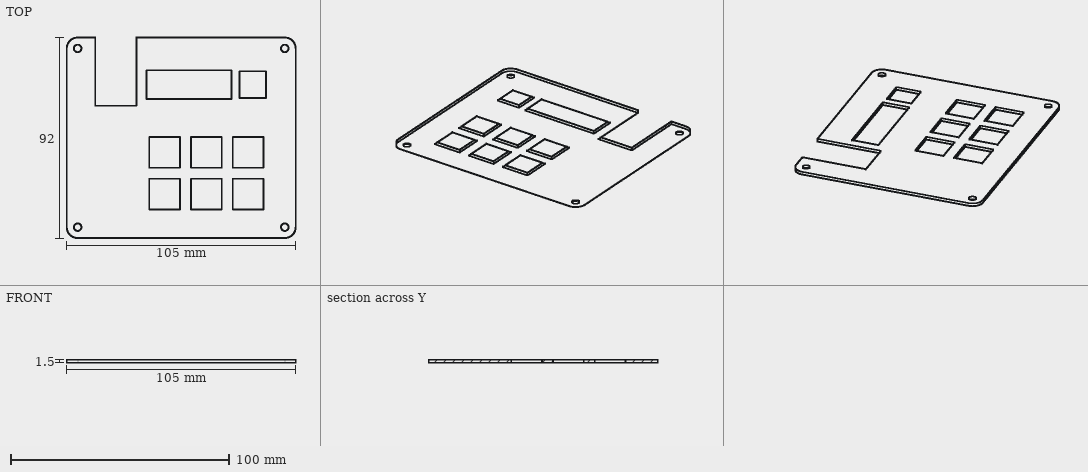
import cadquery as cq

length = 105.0
width = 92.0
thickness = 1.5
corner_radius = 5.0

hole_diameter = 3.4
hole_spacing_x = length - 2 * corner_radius
hole_spacing_y = width - 2 * corner_radius

notch_offset = 13.1
notch_width = 18.8
notch_depth = 31.3

window_y = 24.4
display_x = 3.6
display_length = 38.7
display_height = 13.0
square_x = 32.8
square_size = 12.1

key_size = 14.0
key_pitch = 19.1
key_columns = 3
key_rows = 2
key_grid_x = 11.5
key_grid_y = -16.3


def opening(center_x, center_y, size_x, size_y):
    """Rectangular cutter through the full plate thickness."""
    cutter = cq.Workplane("XY").rect(size_x, size_y).extrude(thickness)
    return cutter.translate((center_x, center_y, 0))


result = (
    cq.Workplane("XY")
    .rect(length, width)
    .extrude(thickness)
    .edges("|Z")
    .fillet(corner_radius)
)

result = (
    result.faces(">Z")
    .workplane(origin=(0, 0, thickness))
    .rect(hole_spacing_x, hole_spacing_y, forConstruction=True)
    .vertices()
    .hole(hole_diameter)
)

notch_x = -length / 2 + notch_offset + notch_width / 2
notch_y = width / 2 - notch_depth / 2
result = result.cut(opening(notch_x, notch_y, notch_width, notch_depth))

result = result.cut(opening(display_x, window_y, display_length, display_height))
result = result.cut(opening(square_x, window_y, square_size, square_size))

for column in range(key_columns):
    for row in range(key_rows):
        key_x = key_grid_x + (column - (key_columns - 1) / 2) * key_pitch
        key_y = key_grid_y + (row - (key_rows - 1) / 2) * key_pitch
        result = result.cut(opening(key_x, key_y, key_size, key_size))